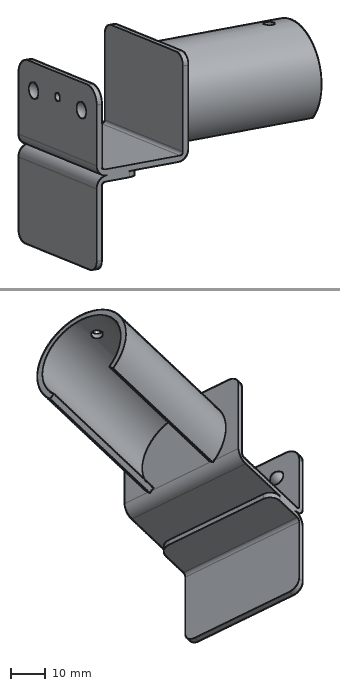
import cadquery as cq
import math

WIDTH = 41.0
SHEET = 1.9
OUTER_BEND = 3.5
INNER_BEND = 1.0
CORNER_RADIUS = 3.5

CHANNEL_DEPTH = 32.3
REAR_HEIGHT = 32.5
FRONT_HEIGHT = 27.0
FRONT_CORNER_RADIUS = 5.0

TAB_LENGTH = 15.0
LEG_HEIGHT = 29.0

PIN_HOLE_DIAMETER = 2.5
PIN_HOLE_BELOW_TOP = 7.5
PIN_HOLE_Z = FRONT_HEIGHT - PIN_HOLE_BELOW_TOP
DIMPLE_RADIUS = 2.5
DIMPLE_PROTRUSION = 1.65
DIMPLE_SPACING = 25.0
DIMPLE_BELOW_TOP = 8.5
DIMPLE_Z = FRONT_HEIGHT - DIMPLE_BELOW_TOP

TUBE_RADIUS = 16.0
TUBE_WALL = SHEET
TUBE_LENGTH = 50.0
TUBE_OPENING_ANGLE = 90.0
TUBE_BELOW_REAR_TOP = 2.5
TUBE_AXIS_Z = REAR_HEIGHT - TUBE_BELOW_REAR_TOP - TUBE_RADIUS
TUBE_END_Y = CHANNEL_DEPTH + TUBE_LENGTH
CROSS_HOLE_DIAMETER = 3.4
CROSS_HOLE_FROM_END = 7.8


def sheet_profile(points):
    """Extrude a closed (Y, Z) outline across the full width, centred on X = 0."""
    return cq.Workplane("YZ").polyline(points).close().extrude(WIDTH / 2, both=True)


def round_bend(body, y, z, radius):
    """Round the bend edge that runs along X through (y, z)."""
    nearest = cq.selectors.NearestToPointSelector((0, y, z))
    return body.edges("|X").edges(nearest).fillet(radius)


def round_corners(body, y, z, axis, radius):
    """Round a plate's two end corners, whose edges pass through (y, z) along the given axis."""
    for side in (-1, 1):
        nearest = cq.selectors.NearestToPointSelector((side * WIDTH / 2, y, z))
        body = body.edges(axis).edges(nearest).fillet(radius)
    return body


def make_channel():
    front_inner_y = SHEET
    rear_inner_y = CHANNEL_DEPTH - SHEET
    body = sheet_profile([
        (0, 0),
        (CHANNEL_DEPTH, 0),
        (CHANNEL_DEPTH, REAR_HEIGHT),
        (rear_inner_y, REAR_HEIGHT),
        (rear_inner_y, SHEET),
        (front_inner_y, SHEET),
        (front_inner_y, FRONT_HEIGHT),
        (0, FRONT_HEIGHT),
    ])
    body = round_bend(body, 0, 0, OUTER_BEND)
    body = round_bend(body, CHANNEL_DEPTH, 0, OUTER_BEND)
    body = round_bend(body, front_inner_y, SHEET, INNER_BEND)
    body = round_bend(body, rear_inner_y, SHEET, INNER_BEND)
    body = round_corners(body, SHEET / 2, FRONT_HEIGHT, "|Y", FRONT_CORNER_RADIUS)
    return round_corners(body, CHANNEL_DEPTH - SHEET / 2, REAR_HEIGHT, "|Y", CORNER_RADIUS)


def make_angle():
    body = sheet_profile([
        (0, 0),
        (TAB_LENGTH, 0),
        (TAB_LENGTH, -SHEET),
        (SHEET, -SHEET),
        (SHEET, -LEG_HEIGHT),
        (0, -LEG_HEIGHT),
    ])
    body = round_bend(body, 0, 0, OUTER_BEND)
    body = round_bend(body, SHEET, -SHEET, INNER_BEND)
    body = round_corners(body, TAB_LENGTH, -SHEET / 2, "|Z", CORNER_RADIUS)
    return round_corners(body, SHEET / 2, -LEG_HEIGHT, "|Y", CORNER_RADIUS)


def make_tube():
    """Tube along +Y with a wedge-shaped lengthwise opening at the bottom."""
    tube_base = cq.Plane(
        origin=(0, CHANNEL_DEPTH, TUBE_AXIS_Z),
        xDir=(0, 0, 1),
        normal=(0, 1, 0),
    )
    ring = (
        cq.Workplane(tube_base)
        .circle(TUBE_RADIUS)
        .circle(TUBE_RADIUS - TUBE_WALL)
        .extrude(TUBE_LENGTH)
    )
    wedge_depth = 2 * TUBE_RADIUS
    wedge_half_width = wedge_depth * math.tan(math.radians(TUBE_OPENING_ANGLE / 2))
    wedge = (
        cq.Workplane(tube_base)
        .polyline([(0, 0), (-wedge_depth, -wedge_half_width), (-wedge_depth, wedge_half_width)])
        .close()
        .extrude(TUBE_LENGTH)
    )
    cross_hole = (
        cq.Workplane("XY", origin=(0, TUBE_END_Y - CROSS_HOLE_FROM_END, TUBE_AXIS_Z))
        .circle(CROSS_HOLE_DIAMETER / 2)
        .extrude(2 * TUBE_RADIUS)
    )
    return ring.cut(wedge).cut(cross_hole)


def add_dimples(body):
    """Press two round dimples into the front wall, open at the front and bulging to the rear."""
    bulge_center_y = SHEET + DIMPLE_PROTRUSION - DIMPLE_RADIUS
    for side in (-1, 1):
        x = side * DIMPLE_SPACING / 2
        bulge = cq.Workplane("XY", origin=(x, bulge_center_y, DIMPLE_Z)).sphere(DIMPLE_RADIUS)
        recess = cq.Workplane("XY", origin=(x, 0, DIMPLE_Z)).sphere(DIMPLE_RADIUS)
        body = body.union(bulge).cut(recess)
    return body


def cut_pin_hole(body):
    hole = (
        cq.Workplane("XZ", origin=(0, 0, PIN_HOLE_Z))
        .circle(PIN_HOLE_DIAMETER / 2)
        .extrude(-SHEET)
    )
    return body.cut(hole)


bracket = make_channel().union(make_angle())
bracket = add_dimples(bracket)
bracket = cut_pin_hole(bracket)
result = bracket.union(make_tube())